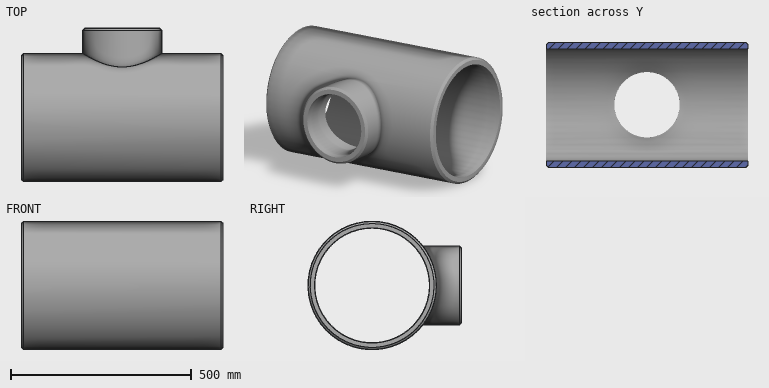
import cadquery as cq

run_diameter = 355.6
run_length = 558.8
branch_diameter = 219.1
branch_reach = 247.65

wall = 19.05
bevel = 6.35

run_start = cq.Plane(origin=(-run_length / 2, 0, 0), xDir=(0, 0, 1), normal=(1, 0, 0))
branch_start = cq.Plane(origin=(0, 0, 0), xDir=(0, 0, 1), normal=(0, 1, 0))


def bevelled_rod(start, diameter, length, open_ends):
    """Solid rod with the outer edge of each selected end face bevelled."""
    rod = cq.Workplane(start).circle(diameter / 2).extrude(length)
    return rod.faces(open_ends).edges().chamfer(bevel)


def bore(start, diameter, length):
    """Cylinder that fills the inside of a pipe."""
    return cq.Workplane(start).circle(diameter / 2 - wall).extrude(length)


run = bevelled_rod(run_start, run_diameter, run_length, "<X or >X")
branch = bevelled_rod(branch_start, branch_diameter, branch_reach, ">Y")
run_bore = bore(run_start, run_diameter, run_length)
branch_bore = bore(branch_start, branch_diameter, branch_reach)

result = run.union(branch).cut(run_bore).cut(branch_bore)